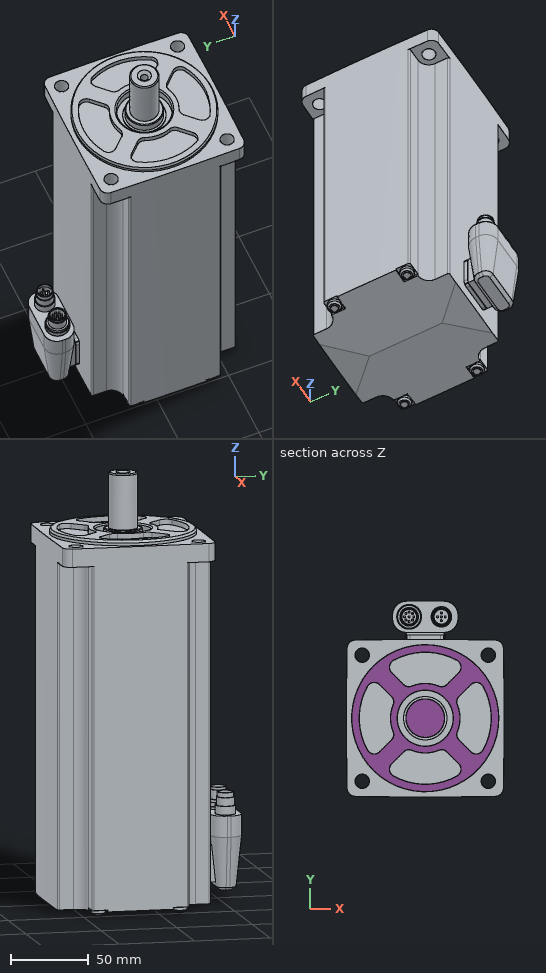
import cadquery as cq
import math


OVERALL_HEIGHT = 281.7
OVERALL_DEPTH = 126.5

FLANGE_CORNER_RADIUS = 5.5
FLANGE_THICKNESS = 12.0
BOLT_CIRCLE_DIAMETER = 115.0
BOLT_HOLE_DIAMETER = 9.0
PILOT_DIAMETER = 95.0
PILOT_HEIGHT = 3.5
PILOT_LEAD_LENGTH = 1.7
PILOT_LEAD_DEPTH = 0.8

POCKET_OUTER_RADIUS = 42.5
POCKET_INNER_RADIUS = 22.5
POCKET_DEPTH = 3.5
POCKET_CORNER_RADIUS = 5.0
SPOKE_WIDTH = 11.0

SHAFT_DIAMETER = 19.0
SHAFT_LENGTH = 40.0
SHAFT_CHAMFER = 0.8
CENTRE_HOLE_DIAMETER = 4.92
CENTRE_HOLE_DEPTH = 16.0
CENTRE_SINK_DIAMETER = 9.0
SEAL_BORE_DIAMETER = 36.0
SEAL_BORE_DEPTH = 6.5
SEAL_BORE_CHAMFER = 1.0
COLLAR_DIAMETER = 25.0
COLLAR_CHAMFER = 0.6
COLLAR_FOOT_DIAMETER = 28.0
COLLAR_FOOT_HEIGHT = 0.8

BODY_WIDTH = 101.82
SIDE_BULGE = 0.5
BOTTOM_RIDGE_Z = -241.0
BOTTOM_RIDGE_LENGTH = 54.0
BOTTOM_SLOPE_ANGLE = 2.5
NOTCH_POSITION = 32.2
NOTCH_EDGE_RADIUS = 1.2
NOTCH_INNER_RADIUS = 8.2

SCREW_X = 45.2
SCREW_Y = 27.0
SCREW_HEAD_DIAMETER = 9.5
SCREW_TIP_DIAMETER = 5.2
SCREW_HEAD_CHAMFER = 1.2
SCREW_SEAT_WIDTH = 10.2
SCREW_HEAD_TOP_Z = -237.6
SCREW_HEAD_EDGE_Z = -240.9
SCREW_BOTTOM_Z = SHAFT_LENGTH - OVERALL_HEIGHT

CONNECTOR_LENGTH = 42.4
CONNECTOR_WIDTH = 20.4
CONNECTOR_CORNER_RADIUS = 9.0
CONNECTOR_OUTER_Y = OVERALL_DEPTH - BODY_WIDTH / 2
CONNECTOR_TOP_Z = -184.6
CONNECTOR_TAPER_Z = -198.5
CONNECTOR_BOTTOM_Z = -234.2
CONNECTOR_BOTTOM_WIDTH = 12.8
CONNECTOR_BOTTOM_CHAMFER = 2.2
CONNECTOR_Y = CONNECTOR_OUTER_Y - CONNECTOR_WIDTH / 2

BASE_SIZE = 26.0
BASE_THICKNESS = 2.6
BASE_OVERLAP = 0.5
BASE_CORNER_RADIUS = 3.2
NECK_SIZE = 24.4
BASE_Z = -216.9

SOCKET_SPACING = 20.8
SOCKET_TOP_Z = -170.3
SOCKET_BORE_DEPTH = 7.0
PIN_LENGTH = 5.0
POWER_BORE_DIAMETER = 9.5
POWER_PIN_DIAMETER = 1.25
POWER_PIN_COUNT = 8
POWER_PIN_CIRCLE_DIAMETER = 6.0
SIGNAL_BORE_DIAMETER = 9.5
SIGNAL_PIN_DIAMETER = 1.25
SIGNAL_PIN_COUNT = 4
SIGNAL_PIN_CIRCLE_DIAMETER = 5.0
POWER_SOCKET_STEPS = [
    (10.77, -172.0),
    (12.0, -178.2),
    (14.77, -180.0),
    (16.0, -182.8),
    (14.0, CONNECTOR_TOP_Z),
]
SIGNAL_SOCKET_STEPS = [
    (10.77, -173.5),
    (11.8, -179.0),
    (13.2, CONNECTOR_TOP_Z),
]


def make_bulged_square(top_z, bottom_z):
    """Square block whose four sides bulge out slightly as shallow arcs."""
    half = BODY_WIDTH / 2
    corner = half - SIDE_BULGE
    return (
        cq.Workplane("XY", origin=(0, 0, bottom_z))
        .moveTo(-corner, -corner)
        .threePointArc((0, -half), (corner, -corner))
        .threePointArc((half, 0), (corner, corner))
        .threePointArc((0, half), (-corner, corner))
        .threePointArc((-half, 0), (-corner, -corner))
        .close()
        .extrude(top_z - bottom_z)
    )


def make_flange():
    bolt_spacing = BOLT_CIRCLE_DIAMETER / math.sqrt(2)
    flange = make_bulged_square(0, -FLANGE_THICKNESS).edges("|Z").fillet(FLANGE_CORNER_RADIUS)
    holes = (
        cq.Workplane("XY")
        .rect(bolt_spacing, bolt_spacing, forConstruction=True)
        .vertices()
        .circle(BOLT_HOLE_DIAMETER / 2)
        .extrude(-FLANGE_THICKNESS)
    )
    pilot = (
        cq.Workplane("XY")
        .circle(PILOT_DIAMETER / 2)
        .extrude(PILOT_HEIGHT)
        .faces(">Z")
        .chamfer(PILOT_LEAD_LENGTH, PILOT_LEAD_DEPTH)
    )
    return flange.cut(holes).union(pilot)


def make_pocket():
    """Pocket on the +Y side: a ring quarter between two diagonal spokes."""
    floor_z = PILOT_HEIGHT - POCKET_DEPTH
    apex_y = SPOKE_WIDTH / math.sqrt(2)
    ring = (
        cq.Workplane("XY", origin=(0, 0, floor_z))
        .circle(POCKET_OUTER_RADIUS)
        .circle(POCKET_INNER_RADIUS)
        .extrude(POCKET_DEPTH)
    )
    wedge = (
        cq.Workplane("XY", origin=(0, apex_y, floor_z))
        .polyline([
            (0, 0),
            (POCKET_OUTER_RADIUS, POCKET_OUTER_RADIUS),
            (-POCKET_OUTER_RADIUS, POCKET_OUTER_RADIUS),
        ])
        .close()
        .extrude(POCKET_DEPTH)
    )
    return ring.intersect(wedge).edges("|Z").fillet(POCKET_CORNER_RADIUS)


def make_body():
    """Housing with slightly bulged sides, notched corners and a shallow roof-shaped bottom."""
    half = BODY_WIDTH / 2
    body = make_bulged_square(-FLANGE_THICKNESS, BOTTOM_RIDGE_Z)
    notch_size = half - NOTCH_POSITION
    notch_centre = NOTCH_POSITION + notch_size / 2
    notch = (
        cq.Workplane("XY", origin=(notch_centre, notch_centre, -FLANGE_THICKNESS))
        .rect(notch_size, notch_size)
        .extrude(BOTTOM_RIDGE_Z + FLANGE_THICKNESS)
        .edges("|Z and <X and <Y")
        .fillet(NOTCH_INNER_RADIUS)
    )
    for quarter in range(4):
        body = body.cut(notch.rotate((0, 0, 0), (0, 0, 1), 90 * quarter))
    body = (
        body.edges("|Z")
        .filter(lambda line: max(abs(line.Center().x), abs(line.Center().y)) > half - 2 * SIDE_BULGE)
        .fillet(NOTCH_EDGE_RADIUS)
    )
    return body.intersect(make_hipped_envelope()).cut(make_screw_seats())


def make_hipped_envelope():
    """Block as wide as the housing whose underside is a shallow hipped roof with its ridge along Y."""
    half = BODY_WIDTH / 2
    slope = math.tan(math.radians(BOTTOM_SLOPE_ANGLE))
    side_z = BOTTOM_RIDGE_Z + half * slope
    end_z = BOTTOM_RIDGE_Z + (half - BOTTOM_RIDGE_LENGTH / 2) * slope
    side_slopes = (
        cq.Workplane("XZ")
        .polyline([(-half, 0), (-half, side_z), (0, BOTTOM_RIDGE_Z), (half, side_z), (half, 0)])
        .close()
        .extrude(half, both=True)
    )
    end_slopes = (
        cq.Workplane("YZ")
        .polyline([
            (-half, 0),
            (-half, end_z),
            (-BOTTOM_RIDGE_LENGTH / 2, BOTTOM_RIDGE_Z),
            (BOTTOM_RIDGE_LENGTH / 2, BOTTOM_RIDGE_Z),
            (half, end_z),
            (half, 0),
        ])
        .close()
        .extrude(half, both=True)
    )
    return side_slopes.intersect(end_slopes)


def at_screw_positions(part):
    """Four copies of a part that is drawn for the (+X, +Y) screw, mirrored to all corners."""
    right_pair = part.union(part.mirror("XZ"))
    return right_pair.union(right_pair.mirror("YZ"))


def make_screw_seats():
    """Steps in the underside that seat the screw heads, open to both sides of each corner."""
    inner_x = SCREW_X - SCREW_SEAT_WIDTH / 2
    inner_y = SCREW_Y - SCREW_SEAT_WIDTH / 2
    seat = (
        cq.Workplane("XY", origin=(inner_x, inner_y, SCREW_HEAD_TOP_Z))
        .rect(BODY_WIDTH / 2 - inner_x, BODY_WIDTH / 2 - inner_y, centered=False)
        .extrude(BOTTOM_RIDGE_Z - SCREW_HEAD_TOP_Z)
    )
    return at_screw_positions(seat)


def make_screw_heads():
    head = (
        cq.Workplane("XY", origin=(SCREW_X, SCREW_Y, SCREW_HEAD_EDGE_Z))
        .circle(SCREW_HEAD_DIAMETER / 2)
        .extrude(SCREW_HEAD_TOP_Z - SCREW_HEAD_EDGE_Z)
        .faces("<Z")
        .chamfer(SCREW_HEAD_CHAMFER)
    )
    tip = (
        cq.Workplane("XY", origin=(SCREW_X, SCREW_Y, SCREW_BOTTOM_Z))
        .circle(SCREW_TIP_DIAMETER / 2)
        .extrude(SCREW_HEAD_TOP_Z - SCREW_BOTTOM_Z)
    )
    screw = head.union(tip)
    return at_screw_positions(screw)


def make_shaft(base_z):
    sink_depth = (CENTRE_SINK_DIAMETER - CENTRE_HOLE_DIAMETER) / 2
    shaft = (
        cq.Workplane("XY", origin=(0, 0, base_z))
        .circle(SHAFT_DIAMETER / 2)
        .extrude(SHAFT_LENGTH - base_z)
        .faces(">Z")
        .chamfer(SHAFT_CHAMFER)
    )
    hole = (
        cq.Workplane("XZ")
        .polyline([
            (0, SHAFT_LENGTH),
            (CENTRE_SINK_DIAMETER / 2, SHAFT_LENGTH),
            (CENTRE_HOLE_DIAMETER / 2, SHAFT_LENGTH - sink_depth),
            (CENTRE_HOLE_DIAMETER / 2, SHAFT_LENGTH - CENTRE_HOLE_DEPTH),
            (0, SHAFT_LENGTH - CENTRE_HOLE_DEPTH),
        ])
        .close()
        .revolve(360)
    )
    return shaft.cut(hole)


def make_seal_bore(floor_z):
    """Chamfered bore in the pilot face around the shaft, to be cut away."""
    radius = SEAL_BORE_DIAMETER / 2
    return (
        cq.Workplane("XZ")
        .polyline([
            (0, floor_z),
            (radius, floor_z),
            (radius, PILOT_HEIGHT - SEAL_BORE_CHAMFER),
            (radius + SEAL_BORE_CHAMFER, PILOT_HEIGHT),
            (0, PILOT_HEIGHT),
        ])
        .close()
        .revolve(360)
    )


def make_seal_collar(floor_z):
    collar = (
        cq.Workplane("XY", origin=(0, 0, floor_z))
        .circle(COLLAR_DIAMETER / 2)
        .extrude(PILOT_HEIGHT - floor_z)
        .faces(">Z")
        .chamfer(COLLAR_CHAMFER)
    )
    foot = (
        cq.Workplane("XY", origin=(0, 0, floor_z))
        .circle(COLLAR_FOOT_DIAMETER / 2)
        .extrude(COLLAR_FOOT_HEIGHT)
    )
    return collar.union(foot)


def rounded_rectangle(length, width, radius):
    return cq.Sketch().rect(length, width).vertices().fillet(radius)


def make_connector_housing():
    """Rounded block with a tapered lower part, standing on a swivel base."""
    outline = rounded_rectangle(CONNECTOR_LENGTH, CONNECTOR_WIDTH, CONNECTOR_CORNER_RADIUS)
    upper = (
        cq.Workplane("XY", origin=(0, CONNECTOR_Y, CONNECTOR_TAPER_Z))
        .placeSketch(outline)
        .extrude(CONNECTOR_TOP_Z - CONNECTOR_TAPER_Z)
    )
    taper_length = CONNECTOR_TAPER_Z - CONNECTOR_BOTTOM_Z
    taper_angle = math.degrees(math.atan((CONNECTOR_WIDTH - CONNECTOR_BOTTOM_WIDTH) / 2 / taper_length))
    lower = (
        cq.Workplane("XY", origin=(0, CONNECTOR_Y, CONNECTOR_TAPER_Z))
        .placeSketch(outline)
        .extrude(-taper_length, taper=taper_angle)
        .faces("<Z")
        .chamfer(CONNECTOR_BOTTOM_CHAMFER)
    )
    base_start_y = BODY_WIDTH / 2 - BASE_OVERLAP
    base = (
        cq.Workplane("XZ", origin=(0, base_start_y, BASE_Z))
        .placeSketch(rounded_rectangle(BASE_SIZE, BASE_SIZE, BASE_CORNER_RADIUS))
        .extrude(-(BASE_THICKNESS + BASE_OVERLAP))
    )
    neck = (
        cq.Workplane("XZ", origin=(0, base_start_y, BASE_Z))
        .rect(NECK_SIZE, NECK_SIZE)
        .extrude(base_start_y - CONNECTOR_Y)
    )
    return upper.union(lower).union(base).union(neck)


def make_socket(steps, bore_diameter, pin_diameter, pin_count, pin_circle_diameter):
    """Stepped round socket with one pin in the middle and a ring of pins around it."""
    socket = cq.Workplane("XY")
    top_z = SOCKET_TOP_Z
    for diameter, bottom_z in steps:
        step = cq.Workplane("XY", origin=(0, 0, bottom_z)).circle(diameter / 2).extrude(top_z - bottom_z)
        socket = socket.union(step)
        top_z = bottom_z
    floor_z = SOCKET_TOP_Z - SOCKET_BORE_DEPTH
    bore = cq.Workplane("XY", origin=(0, 0, floor_z)).circle(bore_diameter / 2).extrude(SOCKET_BORE_DEPTH)
    pins = (
        cq.Workplane("XY", origin=(0, 0, floor_z))
        .circle(pin_diameter / 2)
        .extrude(PIN_LENGTH)
        .union(
            cq.Workplane("XY", origin=(0, 0, floor_z))
            .polarArray(pin_circle_diameter / 2, 0, 360, pin_count)
            .circle(pin_diameter / 2)
            .extrude(PIN_LENGTH)
        )
    )
    return socket.cut(bore).union(pins)


def make_connector():
    power = make_socket(
        POWER_SOCKET_STEPS, POWER_BORE_DIAMETER,
        POWER_PIN_DIAMETER, POWER_PIN_COUNT, POWER_PIN_CIRCLE_DIAMETER,
    )
    signal = make_socket(
        SIGNAL_SOCKET_STEPS, SIGNAL_BORE_DIAMETER,
        SIGNAL_PIN_DIAMETER, SIGNAL_PIN_COUNT, SIGNAL_PIN_CIRCLE_DIAMETER,
    )
    return (
        make_connector_housing()
        .union(power.translate((-SOCKET_SPACING / 2, CONNECTOR_Y, 0)))
        .union(signal.translate((SOCKET_SPACING / 2, CONNECTOR_Y, 0)))
    )


def make_motor():
    seal_floor_z = PILOT_HEIGHT - SEAL_BORE_DEPTH
    motor = make_flange().union(make_body())
    pocket = make_pocket()
    for quarter in range(4):
        motor = motor.cut(pocket.rotate((0, 0, 0), (0, 0, 1), 90 * quarter))
    return (
        motor.clean()
        .cut(make_seal_bore(seal_floor_z))
        .union(make_seal_collar(seal_floor_z))
        .union(make_shaft(seal_floor_z))
        .union(make_screw_heads())
        .union(make_connector())
    )


result = make_motor()